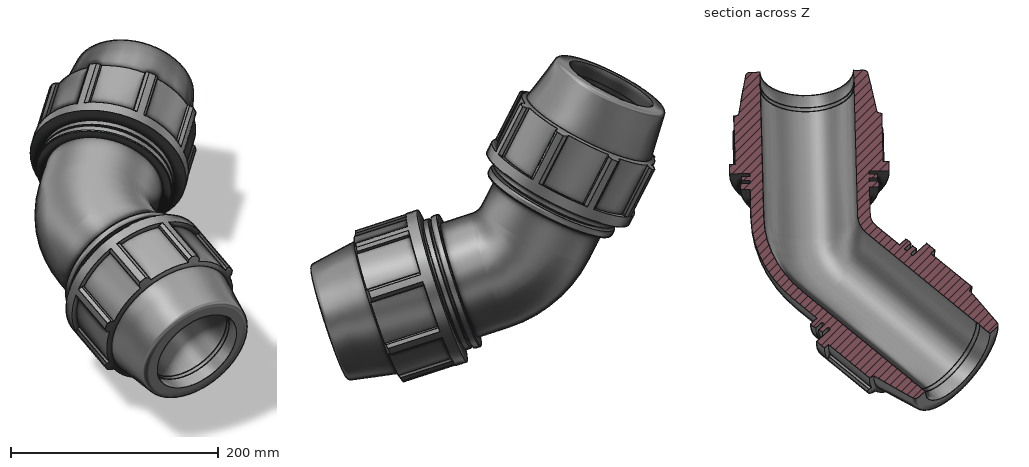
import cadquery as cq
import math

bend_angle = 45.0
bend_radius = 75.0
pipe_radius = 115.5 / 2
bore_radius = 90.0 / 2

spout_length = 163.9
split_ring_start = 31.2
split_ring_end = 38.2
thin_ring_start = 41.3
thin_ring_end = 46.3
flange_start = 49.0
flange_end = 60.0
nut_shoulder = 112.6
nose_start = 116.0

split_ring_radius = 133.98 / 2
split_ring_front_chamfer_length = 2.2
split_ring_back_chamfer_length = 1.1
split_ring_chamfer_depth = 0.6
thin_ring_radius = 131.3 / 2

flange_radius = 154.0 / 2
panel_radius = 71.6
nose_base_radius = 133.98 / 2
nose_tip_radius = 58.5
nose_tip_fillet = 4.5

rib_count = 8
rib_width = 13.0
rib_edge_chamfer = 3.0

groove_offset = 13.8
groove_width = 4.4
groove_depth = 0.4


def cylinder(start, end, radius):
    """Solid cylinder about the X axis between two stations."""
    return cq.Workplane("YZ").workplane(offset=start).circle(radius).extrude(end - start)


def revolved(points):
    """Solid of revolution about the X axis from (station, radius) points."""
    outline = [(points[0][0], 0), *points, (points[-1][0], 0)]
    return cq.Workplane("XY").polyline(outline).close().revolve(360, (0, 0, 0), (1, 0, 0))


def split_ring():
    """Ring with chamfered rims, the longer chamfer toward the nut."""
    edge_radius = split_ring_radius - split_ring_chamfer_depth
    return revolved([
        (split_ring_start, edge_radius),
        (split_ring_start + split_ring_back_chamfer_length, split_ring_radius),
        (split_ring_end - split_ring_front_chamfer_length, split_ring_radius),
        (split_ring_end, edge_radius),
    ])


def nut_envelope():
    """Nut at the full flange radius, closed by a shallow conical end face."""
    return revolved([
        (flange_start, flange_radius),
        (nut_shoulder, flange_radius),
        (nose_start, nose_base_radius),
    ])


def rib_bars():
    """Full-length bars with bevelled long edges, one for each grip rib."""
    half_width = rib_width / 2
    half_top = half_width - rib_edge_chamfer
    shoulder_radius = flange_radius - rib_edge_chamfer
    section = [
        (-half_width, 0),
        (-half_width, shoulder_radius),
        (-half_top, flange_radius),
        (half_top, flange_radius),
        (half_width, shoulder_radius),
        (half_width, 0),
    ]
    bar = (
        cq.Workplane("YZ")
        .workplane(offset=flange_end)
        .polyline(section)
        .close()
        .extrude(nose_start - flange_end)
    )
    pitch = 360 / rib_count
    bars = cq.Workplane("XY")
    for index in range(rib_count):
        bars = bars.union(bar.rotate((0, 0, 0), (1, 0, 0), (index + 0.5) * pitch))
    return bars


def nut():
    """Flanged nut: panels between the grip ribs, all cut to one end cone."""
    blank = cylinder(flange_start, flange_end, flange_radius)
    blank = blank.union(cylinder(flange_end, nose_start, panel_radius))
    return blank.union(rib_bars()).intersect(nut_envelope())


def nose():
    """Tapered nose with a rounded mouth rim."""
    cone = revolved([(nose_start, nose_base_radius), (spout_length, nose_tip_radius)])
    return cone.faces(">X").edges().fillet(nose_tip_fillet)


def spout():
    """Outer form of one spout, running along +X from the bend."""
    body = cylinder(0, flange_start, pipe_radius)
    body = body.union(split_ring())
    body = body.union(cylinder(thin_ring_start, thin_ring_end, thin_ring_radius))
    body = body.union(nut())
    return body.union(nose())


def spout_bore():
    """Bore of one spout with its groove."""
    groove_end = spout_length - groove_offset
    bore = cylinder(0, spout_length, bore_radius)
    groove = cylinder(groove_end - groove_width, groove_end, bore_radius + groove_depth)
    return bore.union(groove)


def bend(radius):
    """Bend about the Z line through (0, bend_radius), swept toward -X."""
    return (
        cq.Workplane("YZ")
        .circle(radius)
        .revolve(bend_angle, (bend_radius, 1, 0), (bend_radius, 0, 0))
    )


def at_far_end(shape):
    """Move a +X spout shape to the far end of the bend."""
    angle = math.radians(bend_angle)
    end_x = -bend_radius * math.sin(angle)
    end_y = bend_radius * (1 - math.cos(angle))
    return shape.rotate((0, 0, 0), (0, 0, 1), 180 - bend_angle).translate((end_x, end_y, 0))


outer = bend(pipe_radius).union(spout()).union(at_far_end(spout()))
passage = bend(bore_radius).union(spout_bore()).union(at_far_end(spout_bore()))
result = outer.cut(passage)